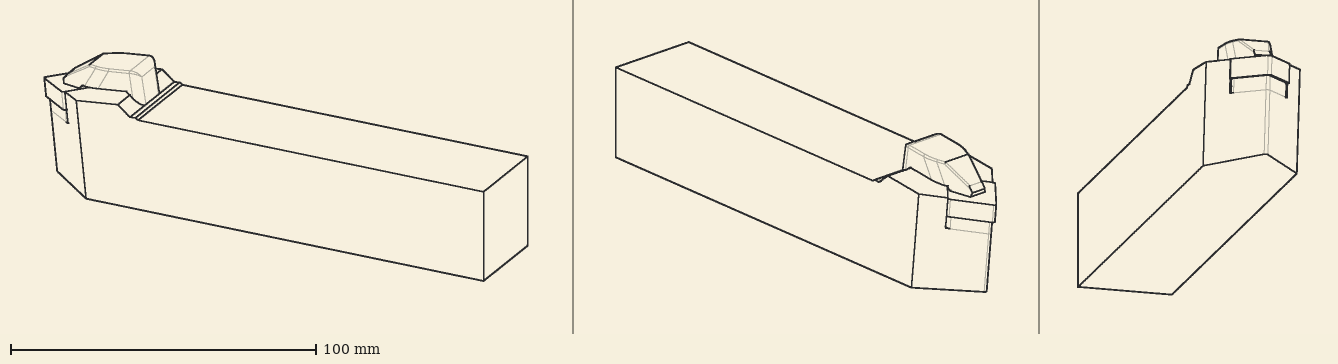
import cadquery as cq
import math

length = 169.5
shank_size = 32.0

tilt = 6.0
tip_height = 32.4
nose_radius = 0.8
half_tip = math.radians(40.0)

insert_side = 16.1
insert_thickness = 6.5
seat_thickness = 4.7
flank_inset = 0.8
seat_side_radius = 1.7

top_end = 35.8
step_depth = 4.0
step_floor_length = 2.0
lip_end_x = 42.5

pad_start = 9.3
pad_end = 16.5
clamp_gap = 1.2
clamp_nose = (9.0, 1.5)
slope_start = (10.9, 3.4)
crown_start = 20.7
clamp_height = 8.5
clamp_heel = top_end + step_depth
rear_lean = 0.7
clamp_rear = clamp_heel - rear_lean

clamp_half_width = 7.5
clamp_nose_half_width = 3.2
taper_end = 20.3
taper_lean = math.tan(math.radians(35.0))
taper_blend_radius = 10.5
clamp_rear_radius = 5.8 / 2
clamp_edge_radius = 0.7

sin_tilt = math.sin(math.radians(tilt))
cos_tilt = math.cos(math.radians(tilt))
along_top = cq.Vector(cos_tilt, 0, sin_tilt)
off_top = cq.Vector(-sin_tilt, 0, cos_tilt)

tip_x = -(nose_radius / math.sin(half_tip) - nose_radius) * cos_tilt
tip = cq.Vector(tip_x, 0, tip_height)
top_plane = cq.Plane(origin=tip, xDir=along_top, normal=off_top)
side_plane = cq.Plane(origin=tip, xDir=along_top, normal=(0, -1, 0))

upright = cq.selectors.ParallelDirSelector(off_top)
crosswise = cq.selectors.ParallelDirSelector(cq.Vector(0, 1, 0))


def head_point(u, w):
    """X and Z of a point on the middle plane of the head."""
    return (tip_x + u * cos_tilt - w * sin_tilt, tip_height + u * sin_tilt + w * cos_tilt)


def rhombic_plate(tip_u, side, top_w, thickness):
    half_length = side * math.cos(half_tip)
    half_width = side * math.sin(half_tip)
    corners = [
        (tip_u, 0),
        (tip_u + half_length, -half_width),
        (tip_u + 2 * half_length, 0),
        (tip_u + half_length, half_width),
    ]
    return cq.Workplane(top_plane).workplane(offset=top_w).polyline(corners).close().extrude(-thickness)


def make_insert():
    return rhombic_plate(0, insert_side, 0, insert_thickness).edges(upright).fillet(nose_radius)


def make_seat():
    """Plate that shares the insert's rear walls but stands back from its two front flanks."""
    side = insert_side - flank_inset / math.sin(2 * half_tip)
    tip_u = flank_inset / math.sin(half_tip)
    plate = rhombic_plate(tip_u, side, -insert_thickness, seat_thickness)
    plate = plate.edges(upright).edges("<Y or >Y").fillet(seat_side_radius)
    return plate.edges(upright).edges("<X or >X").fillet(nose_radius)


def make_shank():
    """Square bar with the tilted top face and the step behind it."""
    profile = [
        (0, 0),
        (length, 0),
        (length, shank_size),
        (lip_end_x, shank_size),
        head_point(clamp_heel + step_floor_length, -step_depth),
        head_point(clamp_heel, -step_depth),
        head_point(top_end, 0),
        head_point(0, 0),
    ]
    return cq.Workplane("XZ").polyline(profile).close().extrude(shank_size / 2, both=True)


def make_nose_wedge():
    """Wedge longer than the shank, square to the tilted top face, that points the front of the shank."""
    start = flank_inset / math.sin(half_tip)
    reach = 2 * length
    spread = (reach - start) * math.tan(half_tip)
    outline = [(start, 0), (reach, -spread), (reach, spread)]
    wedge = cq.Workplane(top_plane).polyline(outline).close().extrude(length, both=True)
    return wedge.edges(upright).edges("<X").fillet(nose_radius)


def make_clamp_bar():
    profile = [
        (pad_start, 0),
        clamp_nose,
        slope_start,
        (crown_start, clamp_height),
        (clamp_rear, clamp_height),
        (clamp_heel, -step_depth),
        (top_end - clamp_gap, clamp_gap),
        (pad_end + clamp_gap, clamp_gap),
        (pad_end, 0),
    ]
    return cq.Workplane(side_plane).polyline(profile).close().extrude(clamp_half_width, both=True)


def make_clamp_taper():
    """Tapered outline swept along the direction in which the taper faces lean."""
    narrowing = (clamp_half_width - clamp_nose_half_width) / (taper_end - pad_start)
    point_u = taper_end - clamp_half_width / narrowing
    back_u = 2 * clamp_heel
    outline = [
        (point_u, 0),
        (taper_end, -clamp_half_width),
        (back_u, -clamp_half_width),
        (back_u, clamp_half_width),
        (taper_end, clamp_half_width),
    ]
    lean = along_top * taper_lean + off_top
    wire = cq.Workplane(top_plane).polyline(outline).close().val().translate(lean * -clamp_height)
    prism = cq.Solid.extrudeLinear(wire, [], lean * (3 * clamp_height))
    return cq.Workplane(prism), cq.selectors.ParallelDirSelector(lean)


def make_clamp():
    """Clamp with rounded rear corners and softened upper side edges."""
    taper, leaning = make_clamp_taper()
    clamp = make_clamp_bar().intersect(taper)
    clamp = clamp.edges(leaning).fillet(taper_blend_radius)

    rise_of_rear = off_top * (clamp_height + step_depth) - along_top * rear_lean
    rear_face = clamp.faces(cq.selectors.DirectionMinMaxSelector(along_top))
    rear_corners = rear_face.edges(cq.selectors.ParallelDirSelector(rise_of_rear))
    rear_edges = rear_corners.add(rear_face.edges(crosswise).edges(">Z"))
    clamp = clamp.newObject(rear_edges.vals()).fillet(clamp_rear_radius)

    crown = clamp.faces(cq.selectors.DirectionMinMaxSelector(off_top))
    slope_angle = math.atan2(clamp_height - slope_start[1], crown_start - slope_start[0])
    slope_normal = off_top * math.cos(slope_angle) - along_top * math.sin(slope_angle)
    slope = clamp.faces(cq.selectors.DirectionSelector(slope_normal))
    lengthwise = cq.selectors.InverseSelector(crosswise)
    side_edges = crown.edges(lengthwise).add(slope.edges(lengthwise))
    return clamp.newObject(side_edges.vals()).fillet(clamp_edge_radius)


def make_holder():
    """Shank, seat and clamp as one solid, with the pocket for the insert left open."""
    pocket = rhombic_plate(0, insert_side, 0, insert_thickness + seat_thickness)
    head = make_shank().intersect(make_nose_wedge()).cut(pocket)
    return head.union(make_seat(), clean=False).union(make_clamp(), clean=False)


holder = make_holder()
insert = make_insert()
result = cq.Compound.makeCompound([holder.solids().val(), insert.solids().val()])